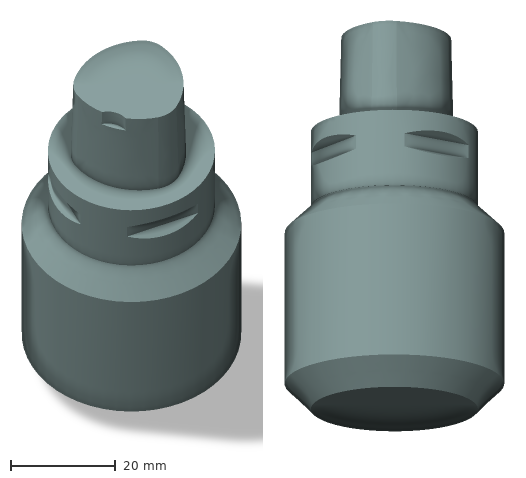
import cadquery as cq
import math

total_height = 74.0
drum_radius = 21.0
flange_radius = 16.0
neck_radius = 15.9
neck_height = 0.2
flange_bottom = 40.0
shank_length = 19.0
flange_top = total_height - shank_length
cone_size = drum_radius - flange_radius

lobe_count = 3
lobe_center = 5.8
lobe_radius = 5.9
flank_radius = 14.6
shank_taper = math.degrees(math.atan(1 / 40))
first_lobe_angle = 90.0

groove_count = 4
groove_floor = 14.1
groove_floor_height = 2.6
groove_side_angle = 30.0
groove_middle = 49.05

notch_radius = 4.1
notch_floor = 8.95
notch_depth = 3.25


def polar(radius, degrees):
    angle = math.radians(degrees)
    return (radius * math.cos(angle), radius * math.sin(angle))


def make_body():
    return (
        cq.Workplane("XZ")
        .moveTo(0, 0)
        .lineTo(drum_radius - cone_size, 0)
        .lineTo(drum_radius, cone_size)
        .lineTo(drum_radius, flange_bottom - cone_size)
        .lineTo(neck_radius, flange_bottom - neck_height)
        .lineTo(neck_radius, flange_bottom)
        .lineTo(flange_radius, flange_bottom)
        .lineTo(flange_radius, flange_top)
        .lineTo(0, flange_top)
        .close()
        .revolve(360, (0, 0), (0, 1))
    )


def make_shank():
    step = 360 / lobe_count
    center_gap = flank_radius - lobe_radius
    across = lobe_center * math.sin(math.radians(step))
    along = lobe_center * math.cos(math.radians(step))
    flank_center = along + math.sqrt(center_gap**2 - across**2)
    seam_x = lobe_center + lobe_radius * (
        lobe_center - flank_center * math.cos(math.radians(step))
    ) / center_gap
    seam_y = lobe_radius * flank_center * math.sin(math.radians(step)) / center_gap
    seam_distance = math.hypot(seam_x, seam_y)
    seam_angle = math.degrees(math.atan2(seam_y, seam_x))
    lobe_tip = lobe_center + lobe_radius
    flank_middle = flank_radius - flank_center

    outline = cq.Workplane("XY", origin=(0, 0, flange_top)).moveTo(
        *polar(seam_distance, first_lobe_angle - seam_angle)
    )
    for index in range(lobe_count):
        angle = first_lobe_angle + index * step
        outline = outline.threePointArc(
            polar(lobe_tip, angle), polar(seam_distance, angle + seam_angle)
        ).threePointArc(
            polar(flank_middle, angle + step / 2),
            polar(seam_distance, angle + step - seam_angle),
        )
    return outline.close().extrude(shank_length, taper=shank_taper)


def make_groove_cutter():
    reach = drum_radius - groove_floor
    floor_half = groove_floor_height / 2
    mouth_half = floor_half + reach * math.tan(math.radians(groove_side_angle))
    return (
        cq.Workplane("XZ")
        .polyline([
            (groove_floor, groove_middle - floor_half),
            (drum_radius, groove_middle - mouth_half),
            (drum_radius, groove_middle + mouth_half),
            (groove_floor, groove_middle + floor_half),
        ])
        .close()
        .extrude(flange_radius, both=True)
    )


def make_notch_cutter():
    return (
        cq.Workplane("XY", origin=(0, 0, total_height - notch_depth))
        .center(0, -notch_floor - notch_radius)
        .circle(notch_radius)
        .extrude(notch_depth)
    )


result = make_body().union(make_shank()).cut(make_notch_cutter())
groove_cutter = make_groove_cutter()
for index in range(groove_count):
    groove_angle = (index + 0.5) * 360 / groove_count
    result = result.cut(groove_cutter.rotate((0, 0, 0), (0, 0, 1), groove_angle))